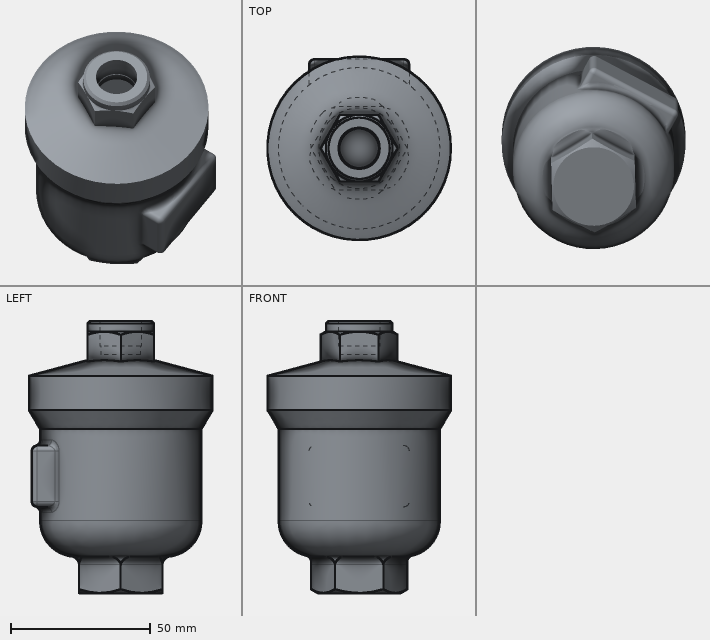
import cadquery as cq
import math

total_height = 98.0
overlap = 5.0

body_radius = 58.0 / 2
flange_radius = 66.0 / 2
bowl_radius = 13.0
bowl_bottom_z = 13.3
taper_bottom_z = 59.2
taper_top_z = 66.0
flange_top_z = 78.25
cover_slope = math.radians(15)

collar_radius = 24.0 / 2
collar_chamfer = 1.0
upper_hex_flats = 24.0
upper_hex_top_z = 94.1
bore_radius = 14.8 / 2
bore_depth = 9.0
bore_end_radius = 14.2 / 2
bore_end_depth = 3.0

lower_hex_flats = 30.0
lower_hex_face_radius = 14.5
lower_hex_blend = 3.0
lower_hex_corner_blend = 2.0
hex_chamfer_slope = math.radians(30)
hex_face_angles = (30, 90, 150)

pad_width = 36.0
pad_back_y = 32.0
pad_bottom_z = 31.2
pad_top_z = 53.2
pad_edge_fillet = 2.0
pad_root_fillet = 2.0


def hex_corner_radius(flats):
    return flats / math.sqrt(3)


def hex_prism(flats, bottom_z, top_z):
    """Hexagonal prism with corners on the X axis and flats facing +Y and -Y."""
    return (
        cq.Workplane("XY")
        .workplane(offset=bottom_z)
        .polygon(6, 2 * hex_corner_radius(flats))
        .extrude(top_z - bottom_z)
    )


def revolved(points):
    """Solid turned about Z from (radius, z) points."""
    return cq.Workplane("XZ").polyline(points).close().revolve(360, (0, 0), (0, 1))


def make_body():
    """Cylinder with a rounded bottom, tapering out to the flange and conical cover."""
    apex_z = flange_top_z + flange_radius * math.tan(cover_slope)
    arc_centre_r = body_radius - bowl_radius
    arc_centre_z = bowl_bottom_z + bowl_radius
    arc_mid = bowl_radius * math.sqrt(0.5)
    return (
        cq.Workplane("XZ")
        .moveTo(0, bowl_bottom_z)
        .lineTo(arc_centre_r, bowl_bottom_z)
        .threePointArc((arc_centre_r + arc_mid, arc_centre_z - arc_mid), (body_radius, arc_centre_z))
        .lineTo(body_radius, taper_bottom_z)
        .lineTo(flange_radius, taper_top_z)
        .lineTo(flange_radius, flange_top_z)
        .lineTo(0, apex_z)
        .close()
        .revolve(360, (0, 0), (0, 1))
    )


def add_pad(body):
    """Rounded rectangular pad on the +Y side, blended into the cylinder wall."""
    inner_y = math.sqrt(body_radius**2 - (pad_width / 2) ** 2) - overlap
    pad = (
        cq.Workplane("XY")
        .box(pad_width, pad_back_y - inner_y, pad_top_z - pad_bottom_z)
        .translate((0, (pad_back_y + inner_y) / 2, (pad_top_z + pad_bottom_z) / 2))
        .edges("|Y or >Y")
        .fillet(pad_edge_fillet)
    )
    joined = body.union(pad)
    lowest = (-pad_width, 0, pad_bottom_z - overlap)
    highest = (pad_width, body_radius, pad_top_z + overlap)
    root = cq.selectors.BoxSelector(lowest, highest, boundingbox=True)
    return joined.edges(root).fillet(pad_root_fillet)


def flare_profile(start, blend_radius, outer):
    """Half profile rising at `start`, then curving out in an arc tangent to the bowl rounding.

    Above the end of the arc the profile is `outer` wide, or ends at the arc if that is wider.
    """
    bowl_centre_r = body_radius - bowl_radius
    bowl_centre_z = bowl_bottom_z + bowl_radius
    centre_r = start + blend_radius
    reach = bowl_radius + blend_radius
    centre_z = bowl_centre_z - math.sqrt(reach**2 - (centre_r - bowl_centre_r) ** 2)
    share = bowl_radius / reach
    end_r = bowl_centre_r + share * (centre_r - bowl_centre_r)
    end_z = bowl_centre_z + share * (centre_z - bowl_centre_z)
    turn = math.pi - math.atan2(end_z - centre_z, end_r - centre_r)
    mid_r = centre_r - blend_radius * math.cos(turn / 2)
    mid_z = centre_z + blend_radius * math.sin(turn / 2)
    top_r = max(outer, end_r)
    profile = (
        cq.Workplane("XZ")
        .lineTo(start, 0)
        .lineTo(start, centre_z)
        .threePointArc((mid_r, mid_z), (end_r, end_z))
    )
    if top_r > end_r:
        profile = profile.lineTo(top_r, end_z)
    top_z = bowl_bottom_z + overlap
    return profile.lineTo(top_r, top_z).lineTo(0, top_z).close()


def add_lower_hexagon(body):
    """Hexagonal foot flaring into the bowl, with its bottom corners chamfered."""
    corner = hex_corner_radius(lower_hex_flats)
    foot = flare_profile(corner, lower_hex_corner_blend, 0).revolve(360, (0, 0), (0, 1))
    side = flare_profile(lower_hex_flats / 2, lower_hex_blend, body_radius)
    half_slab = side.extrude(body_radius, both=True)
    slab = half_slab.union(half_slab.mirror("YZ"))
    for angle in hex_face_angles:
        foot = foot.intersect(slab.rotate((0, 0, 0), (0, 0, 1), angle))
    outer_z = (flange_radius - lower_hex_face_radius) * math.tan(hex_chamfer_slope)
    corner_waste = revolved(
        [(lower_hex_face_radius, 0), (flange_radius, 0), (flange_radius, outer_z)]
    )
    return body.union(foot.cut(corner_waste))


def add_upper_hexagon(body):
    """Hexagon with chamfered top corners and a round collar on the cover."""
    base_z = flange_top_z
    hexagon = hex_prism(upper_hex_flats, base_z, upper_hex_top_z)
    corner = hex_corner_radius(upper_hex_flats)
    corner_z = upper_hex_top_z - (corner - collar_radius) * math.tan(hex_chamfer_slope)
    envelope = revolved(
        [
            (0, base_z),
            (corner, base_z),
            (corner, corner_z),
            (collar_radius, upper_hex_top_z),
            (0, upper_hex_top_z),
        ]
    )
    collar = (
        cq.Workplane("XY")
        .workplane(offset=base_z)
        .circle(collar_radius)
        .extrude(total_height - base_z)
        .faces(">Z")
        .chamfer(collar_chamfer)
    )
    return body.union(hexagon.intersect(envelope)).union(collar)


def cut_bore(body):
    """Blind bore in the collar with a slightly narrower end."""
    top = cq.Workplane("XY").workplane(offset=total_height)
    bore = top.circle(bore_radius).extrude(-bore_depth)
    bore_end = top.circle(bore_end_radius).extrude(-(bore_depth + bore_end_depth))
    return body.cut(bore).cut(bore_end)


body = make_body()
body = add_pad(body)
body = add_lower_hexagon(body)
body = add_upper_hexagon(body)
result = cut_bore(body)